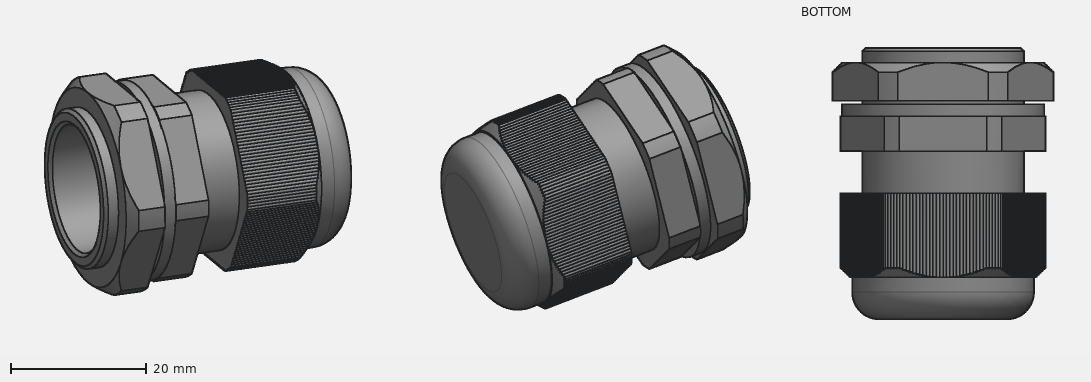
import cadquery as cq
import math


NUT_FRONT = 2.17
NUT_BACK = 7.85
FLANGE_FRONT = 8.32
FLANGE_BACK = 10.1
BODY_HEX_BACK = 15.28
CAP_FRONT = 21.5
CAP_BACK = 33.98
DOME_BACK = 40.2

TUBE_DIAMETER = 24.0
BORE_DIAMETER = 19.3
BORE_DEPTH = 8.2
TUBE_EDGE_CHAMFER = 0.52

FLANGE_DIAMETER = 30.0

NUT_FLATS = 29.88
NUT_CORNERS = 32.77
HEX_FLATS = 27.5
HEX_CORNERS = 30.4

RIBS_PER_FLAT = 26
RIBS_PER_CORNER = 5
RIB_HEIGHT = 0.15

DOME_DIAMETER = 27.0
DOME_RADIUS = 4.1

SIDES = 6


def cylinder(diameter, start, end):
    """Cylinder on the Y axis between two stations."""
    return cq.Workplane("XZ", origin=(0, start, 0)).circle(diameter / 2).extrude(start - end)


def hexagon(flats, corners, start, end):
    """Hexagonal prism with flats facing +Z and -Z, its corners rounded to a cylinder."""
    sharp_corners = flats / math.cos(math.pi / SIDES)
    prism = cq.Workplane("XZ", origin=(0, start, 0)).polygon(SIDES, sharp_corners).extrude(start - end)
    return prism.intersect(cylinder(corners, start, end))


def end_cone(small_diameter, large_diameter, small_end, far_end):
    """Solid that widens at 45 degrees from small_end, then runs straight to far_end."""
    small_radius = small_diameter / 2
    large_radius = large_diameter / 2
    toward_far = math.copysign(1, far_end - small_end)
    shoulder = small_end + toward_far * (large_radius - small_radius)
    profile = [
        (0, small_end),
        (small_radius, small_end),
        (large_radius, shoulder),
        (large_radius, far_end),
        (0, far_end),
    ]
    return cq.Workplane("XY").polyline(profile).close().revolve(360, (0, 0, 0), (0, 1, 0))


def threaded_tube():
    tube = cylinder(TUBE_DIAMETER, 0, CAP_FRONT)
    return tube.faces("<Y").chamfer(TUBE_EDGE_CHAMFER)


def lock_nut():
    nut = hexagon(NUT_FLATS, NUT_CORNERS, NUT_FRONT, NUT_BACK)
    return nut.intersect(end_cone(NUT_FLATS, NUT_CORNERS, NUT_FRONT, NUT_BACK))


def knurl_side(flats, corners):
    """Start points (x, z) of the ribs along the top flat and the corner that follows it."""
    apothem = flats / 2
    radius = corners / 2
    half_angle = math.acos(apothem / radius)
    half_flat = radius * math.sin(half_angle)
    points = []
    for step in range(RIBS_PER_FLAT):
        along = half_flat * (2 * step / RIBS_PER_FLAT - 1)
        points.append((along, apothem))
    corner_angle = 2 * math.pi / SIDES - 2 * half_angle
    for step in range(RIBS_PER_CORNER):
        angle = half_angle + corner_angle * step / RIBS_PER_CORNER
        points.append((radius * math.sin(angle), radius * math.cos(angle)))
    return points


def turned(point, angle):
    """Point turned clockwise about the axis."""
    x, z = point
    return (
        x * math.cos(angle) + z * math.sin(angle),
        z * math.cos(angle) - x * math.sin(angle),
    )


def knurled_prism():
    """Hexagonal prism ringed with ribs, their crests on the hexagon of the body."""
    side = knurl_side(HEX_FLATS - 2 * RIB_HEIGHT, HEX_CORNERS - 2 * RIB_HEIGHT)
    valleys = []
    for index in range(SIDES):
        valleys += [turned(point, index * 2 * math.pi / SIDES) for point in side]

    outline = cq.Workplane("XZ", origin=(0, CAP_FRONT, 0)).moveTo(*valleys[0])
    for start, end in zip(valleys, valleys[1:] + valleys[:1]):
        length = math.dist(start, end)
        outward_x = (start[1] - end[1]) / length
        outward_z = (end[0] - start[0]) / length
        crest = (
            (start[0] + end[0]) / 2 + RIB_HEIGHT * outward_x,
            (start[1] + end[1]) / 2 + RIB_HEIGHT * outward_z,
        )
        outline = outline.threePointArc(crest, end)
    return outline.close().extrude(CAP_FRONT - CAP_BACK)


def cap():
    """Knurled cap, its back corners turned off at 45 degrees."""
    return knurled_prism().intersect(end_cone(HEX_FLATS, HEX_CORNERS, CAP_BACK, CAP_FRONT))


def dome():
    return cylinder(DOME_DIAMETER, CAP_BACK, DOME_BACK).faces(">Y").edges().fillet(DOME_RADIUS)


def bore():
    """Blind bore with a chamfered mouth."""
    mouth_diameter = BORE_DIAMETER + 2 * TUBE_EDGE_CHAMFER
    mouth = cq.Solid.makeCone(
        mouth_diameter / 2, BORE_DIAMETER / 2, TUBE_EDGE_CHAMFER, cq.Vector(0, 0, 0), cq.Vector(0, 1, 0)
    )
    return cylinder(BORE_DIAMETER, 0, BORE_DEPTH).union(cq.Workplane(mouth))


result = (
    threaded_tube()
    .union(lock_nut())
    .union(cylinder(FLANGE_DIAMETER, FLANGE_FRONT, FLANGE_BACK))
    .union(hexagon(HEX_FLATS, HEX_CORNERS, FLANGE_BACK, BODY_HEX_BACK))
    .union(cap())
    .union(dome())
    .cut(bore())
)